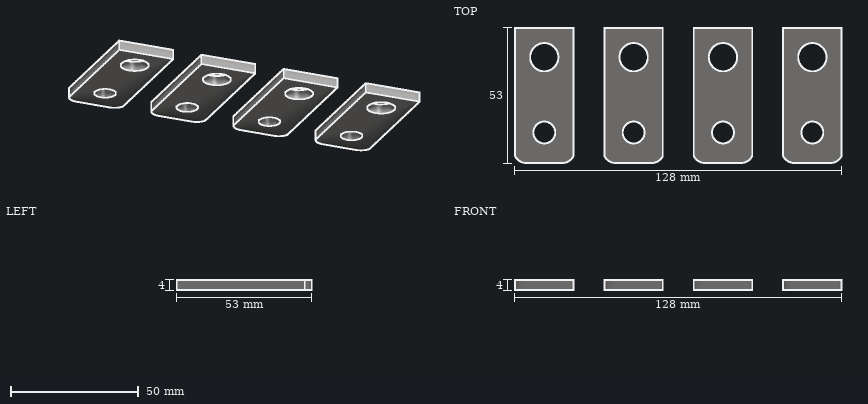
import cadquery as cq
import math

plate_width = 23.0
plate_length = 53.0
plate_thickness = 4.0

end_flat_width = 14.0
corner_radius = 5.0

large_hole_diameter = 11.0
small_hole_diameter = 8.5
large_hole_from_square_end = plate_width / 2
hole_spacing = 29.5

plate_count = 4
plate_pitch = 35.0

half_width = plate_width / 2
half_flat = end_flat_width / 2
square_end_y = plate_length / 2
round_end_y = -plate_length / 2
large_hole_y = square_end_y - large_hole_from_square_end
small_hole_y = large_hole_y - hole_spacing


def plate_outline():
    """Rectangle with a square end at +Y and arc-cut corners at -Y."""
    arc_angle = math.asin((half_width - half_flat) / corner_radius)
    arc_end_y = round_end_y + corner_radius * (1 - math.cos(arc_angle))
    arc_mid_x = half_flat + corner_radius * math.sin(arc_angle / 2)
    arc_mid_y = round_end_y + corner_radius * (1 - math.cos(arc_angle / 2))
    return (
        cq.Workplane("XY")
        .moveTo(-half_width, square_end_y)
        .lineTo(-half_width, arc_end_y)
        .threePointArc((-arc_mid_x, arc_mid_y), (-half_flat, round_end_y))
        .lineTo(half_flat, round_end_y)
        .threePointArc((arc_mid_x, arc_mid_y), (half_width, arc_end_y))
        .lineTo(half_width, square_end_y)
        .close()
    )


def through_hole(diameter, y):
    """Cutter for a round hole through the full plate thickness."""
    return cq.Workplane("XY").center(0, y).circle(diameter / 2).extrude(plate_thickness)


def connection_plate(x):
    """One flat plate with its two holes, centred on the given X."""
    plate = plate_outline().extrude(plate_thickness)
    plate = plate.cut(through_hole(large_hole_diameter, large_hole_y))
    plate = plate.cut(through_hole(small_hole_diameter, small_hole_y))
    return plate.translate((x, 0, 0))


first_plate_x = -(plate_count - 1) * plate_pitch / 2
connection_plates = [
    connection_plate(first_plate_x + index * plate_pitch) for index in range(plate_count)
]

result = cq.Compound.makeCompound([plate.val() for plate in connection_plates])